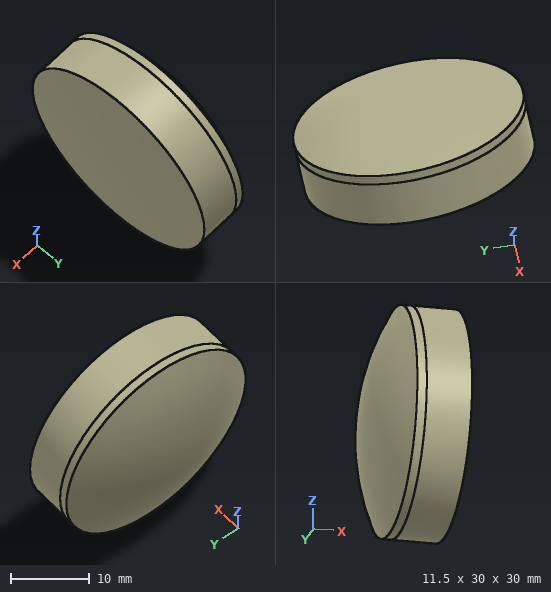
import cadquery as cq

diameter = 30.0
radius = diameter / 2
front_sag = 3.9
front_rim = 1.23
rear_rim = 5.95
total_thickness = 11.5
rear_sag = total_thickness - front_sag - front_rim - rear_rim

front_vertex_x = -total_thickness / 2
front_edge_x = front_vertex_x + front_sag
joint_x = front_edge_x + front_rim
rear_edge_x = joint_x + rear_rim
rear_vertex_x = rear_edge_x + rear_sag


def dome_midpoint(vertex_x, edge_x):
    """Point halfway along the circular arc from a dome's vertex to its rim."""
    sag = abs(edge_x - vertex_x)
    sphere_radius = (radius**2 + sag**2) / (2 * sag)
    cos_rim = 1 - sag / sphere_radius
    mid_sag = sphere_radius * (1 - ((1 + cos_rim) / 2) ** 0.5)
    mid_height = sphere_radius * ((1 - cos_rim) / 2) ** 0.5
    direction = 1 if edge_x > vertex_x else -1
    return vertex_x + direction * mid_sag, mid_height


def make_lens(vertex_x, edge_x):
    """Lens with a spherical outer face, a cylindrical rim and a flat joint face."""
    profile = (
        cq.Workplane("XY")
        .moveTo(vertex_x, 0)
        .threePointArc(dome_midpoint(vertex_x, edge_x), (edge_x, radius))
        .lineTo(joint_x, radius)
        .lineTo(joint_x, 0)
        .close()
    )
    return profile.revolve(360, (0, 0, 0), (1, 0, 0))


front_lens = make_lens(front_vertex_x, front_edge_x)
rear_lens = make_lens(rear_vertex_x, rear_edge_x)

result = cq.Compound.makeCompound([front_lens.val(), rear_lens.val()])